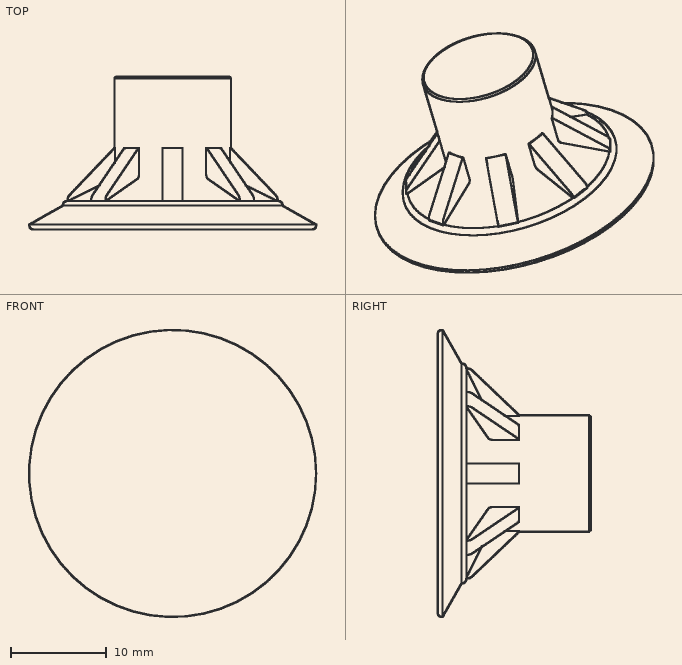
import cadquery as cq
import math

disc_radius = 15.0
rim_height = 0.5
rim_round = 0.42

collar_radius = 23.0 / 2
collar_top = 3.0
collar_round = 0.5
collar_bottom = collar_top - collar_round
collar_land_radius = collar_radius - collar_round

cone_base_radius = 10.92
cone_top = 5.4

hub_radius = 12.2 / 2
hub_top = 16.0
hub_chamfer = 0.2
hub_root_fillet = 0.5

rib_count = 8
rib_width = 2.1
rib_top = 8.5
rib_nose_radius = 0.9
rib_nose_turn = 45.0
rib_outer_radius = collar_land_radius
rib_inner_radius = math.sqrt(hub_radius**2 - (rib_width / 2) ** 2)


def make_housing():
    """Disc, collar, cone and hub as one turned solid."""
    arc_share = math.sqrt(0.5)
    rim_round_mid = (
        disc_radius - rim_round * (1 - arc_share),
        rim_round * (1 - arc_share),
    )
    collar_round_mid = (
        collar_land_radius + collar_round * arc_share,
        collar_bottom + collar_round * arc_share,
    )

    slope = math.atan2(cone_top - collar_top, cone_base_radius - hub_radius)
    turn = math.pi / 2 - slope
    tangent_length = hub_root_fillet * math.tan(turn / 2)
    fillet_start = (
        hub_radius + tangent_length * math.cos(slope),
        cone_top - tangent_length * math.sin(slope),
    )
    fillet_end = (hub_radius, cone_top + tangent_length)
    fillet_mid_angle = turn / 2
    fillet_mid = (
        hub_radius + hub_root_fillet * (1 - math.cos(fillet_mid_angle)),
        fillet_end[1] - hub_root_fillet * math.sin(fillet_mid_angle),
    )

    return (
        cq.Workplane("XY")
        .moveTo(0, 0)
        .lineTo(disc_radius - rim_round, 0)
        .threePointArc(rim_round_mid, (disc_radius, rim_round))
        .lineTo(disc_radius, rim_height)
        .lineTo(collar_radius, collar_bottom)
        .threePointArc(collar_round_mid, (collar_land_radius, collar_top))
        .lineTo(cone_base_radius, collar_top)
        .lineTo(*fillet_start)
        .threePointArc(fillet_mid, fillet_end)
        .lineTo(hub_radius, hub_top - hub_chamfer)
        .lineTo(hub_radius - hub_chamfer, hub_top)
        .lineTo(0, hub_top)
        .close()
        .revolve(360, (0, 0), (0, 1))
    )


def make_rib(angle, housing):
    """Sloping rib with a rounded nose, fitted against the hub and cone."""
    half_turn = math.radians(rib_nose_turn) / 2
    nose_mid = (
        rib_outer_radius - rib_nose_radius * (1 - math.cos(half_turn)),
        collar_top + rib_nose_radius * math.sin(half_turn),
    )
    nose_end = (
        rib_outer_radius - rib_nose_radius * (1 - math.cos(2 * half_turn)),
        collar_top + rib_nose_radius * math.sin(2 * half_turn),
    )
    blank = (
        cq.Workplane("XY")
        .moveTo(rib_inner_radius, collar_top)
        .lineTo(rib_outer_radius, collar_top)
        .threePointArc(nose_mid, nose_end)
        .lineTo(hub_radius, rib_top)
        .lineTo(rib_inner_radius, rib_top)
        .close()
        .extrude(rib_width / 2, both=True)
        .rotate((0, 0, 0), (0, 1, 0), angle)
    )
    return blank.cut(housing)


housing = make_housing()
ribs = [make_rib(i * 360 / rib_count, housing) for i in range(rib_count)]

result = cq.Compound.makeCompound([housing.val(), *[rib.solids().val() for rib in ribs]])